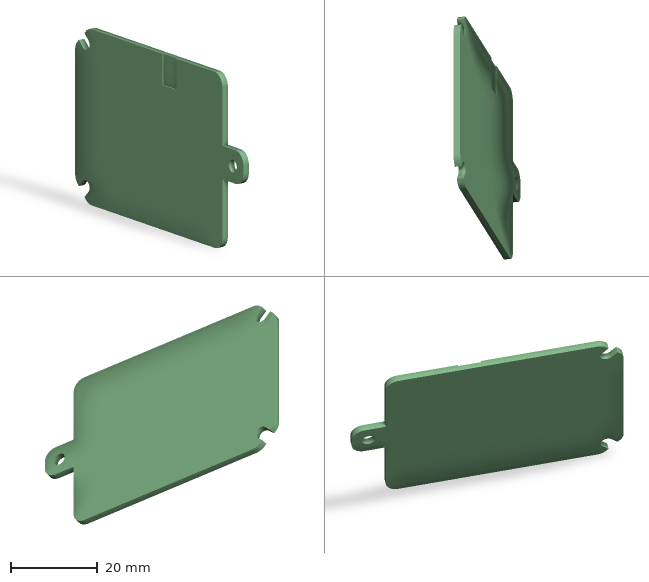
import cadquery as cq

total_length = 64.0
plate_length = 56.0
plate_height = 42.0
thickness = 1.6
corner_radius = 3.0
left_chamfer = 5.0

tab_width = 8.0
tab_hole_diameter = 3.0
tab_hole_from_end = tab_width / 2

slot_width = 3.0
slot_inset = 4.0

pocket_left = 33.3
pocket_width = 5.4
pocket_height = 7.4
pocket_depth = 0.3

half_height = plate_height / 2


def front_prism(sketch, depth=thickness):
    """Extrude a sketch on the front face into the plate."""
    return sketch.extrude(-depth)


def make_plate():
    """Plate with left corners chamfered, then all corners rounded."""
    blank = front_prism(
        cq.Workplane("XZ").center(plate_length / 2, 0).rect(plate_length, plate_height)
    )
    chamfered = blank.edges("|Y and <X").chamfer(left_chamfer)
    return chamfered.edges("|Y").fillet(corner_radius)


def make_tab():
    """Rounded tab on the right edge, overlapping the plate by one tab width."""
    start = plate_length - tab_width
    length = total_length - start
    tab = front_prism(
        cq.Workplane("XZ").center(start + length / 2, 0).rect(length, tab_width)
    )
    return tab.edges("|Y and >X").fillet(corner_radius)


def make_tab_hole():
    """Through hole in the tab."""
    center_x = total_length - tab_hole_from_end
    return front_prism(cq.Workplane("XZ").center(center_x, 0).circle(tab_hole_diameter / 2))


def make_corner_slot(side):
    """Diagonal round-ended slot open at a left corner; side is +1 top, -1 bottom."""
    center_z = side * (half_height - slot_inset)
    slot_length = 2 * slot_inset
    end = cq.Workplane("XZ").center(slot_inset, center_z).circle(slot_width / 2)
    channel = cq.Workplane("XZ").center(-slot_length / 2, 0).rect(slot_length, slot_width)
    diagonal = front_prism(channel).rotate((0, 0, 0), (0, 1, 0), side * 45)
    return front_prism(end).union(diagonal.translate((slot_inset, 0, center_z)))


def make_pocket():
    """Shallow front-face pocket open at the top edge."""
    center_x = pocket_left + pocket_width / 2
    center_z = half_height - pocket_height / 2
    sketch = cq.Workplane("XZ").center(center_x, center_z).rect(pocket_width, pocket_height)
    return front_prism(sketch, pocket_depth)


result = make_plate().union(make_tab()).cut(make_tab_hole()).cut(make_pocket())
for side in (1, -1):
    result = result.cut(make_corner_slot(side))